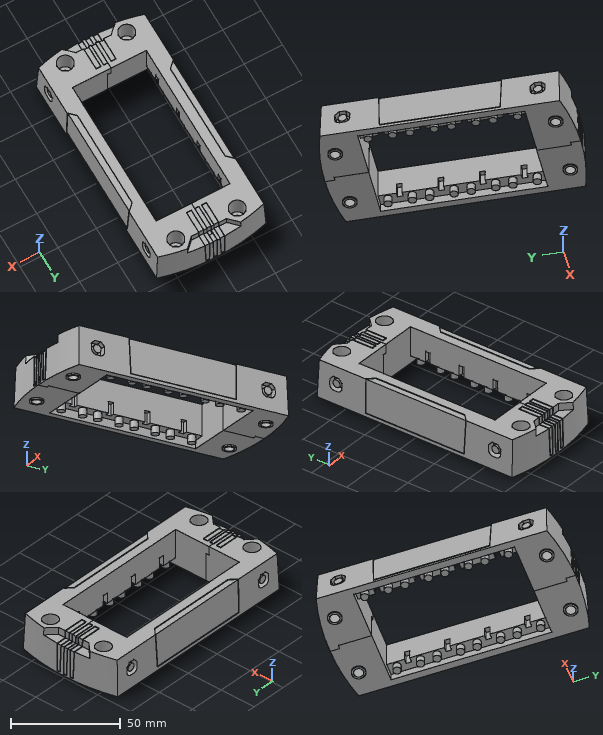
import cadquery as cq


WIDTH = 57.5
LENGTH = 120.0
HEIGHT = 20.0
CORNER_Y = 56.0
SIDE_LEAN = 0.8
END_LEAN = 0.55

OPENING_HALF_WIDTH = 19.3
OPENING_HALF_LENGTH = 39.0

SCREW_X = 16.1
SCREW_Y = 51.5
SCREW_DIAMETER = 4.7
SCREW_HEAD_DIAMETER = 8.2
SCREW_HEAD_DEPTH = 12.0
FOOT_DIAMETER = 6.7
FOOT_HEIGHT = 0.7

SIDE_RECESS_Y = 45.6
SIDE_RECESS_Z = 10.7
SIDE_RECESS_WIDTH = 7.0
SIDE_RECESS_HEIGHT = 7.2
SIDE_RECESS_CHAMFER = 1.9
SIDE_RECESS_ROUNDING = 2.6
SIDE_RECESS_DEPTH = 3.6
POST_DIAMETER = 4.1
POST_SETBACK = 0.6

PANEL_DEPTH = 0.4
PANEL_BOTTOM = 1.9
PANEL_TOP_HALF_LENGTH = 28.7
PANEL_BOTTOM_HALF_LENGTH = 28.2
PANEL_TOP_INNER_X = 24.4

FINGER_DEPTH = 4.0
FINGER_BACK_Y = 53.8
FINGER_BACK_HALF_WIDTH = 9.2

GROOVE_DEPTH = 0.4
GROOVE_PITCH = 4.0
GROOVE_TOP_WIDTH = 2.5
GROOVE_BOTTOM_WIDTH = 1.8
GROOVE_INNER_Y = 42.1
GROOVE_BOTTOM = 1.1

SEAM_OFFSET = 0.9
LAP_COVER = 4.8

LEDGE_HEIGHT = 4.2
LEDGE_OUTER_X = 25.2
PIN_DIAMETER = 3.8
PIN_X = 21.7
PIN_BOTTOM = 0.6
STATION_COUNT = 4
STATION_PITCH = 19.4
PIN_SPREAD = 5.7
NOTCH_WIDTH = 2.6
NOTCH_DEPTH = 2.4
NOTCH_TOP = 10.0

SIDE_X = WIDTH / 2
END_Y = LENGTH / 2
BEYOND = 6.0


def box(x0, x1, y0, y1, z0, z1):
    """Box between opposite corners."""
    size = (x1 - x0, y1 - y0, z1 - z0)
    return cq.Workplane("XY").box(*size, centered=False).translate((x0, y0, z0))


def end_pair(shape):
    """A shape at the +Y end together with its copy at the -Y end."""
    return shape.union(shape.mirror("XZ"))


def side_x_at(z):
    """Half width of the block at height z."""
    return SIDE_X - SIDE_LEAN * z / HEIGHT


def leaning_block(end_inset, height):
    """Block with bowed ends, its ends moved in by end_inset, cut off at the given height."""
    def outline(plane, z):
        lean = z / HEIGHT
        x = side_x_at(z)
        corner_y = CORNER_Y - END_LEAN * lean - end_inset
        end_y = END_Y - END_LEAN * lean - end_inset
        return (
            plane.moveTo(-x, -corner_y)
            .threePointArc((0, -end_y), (x, -corner_y))
            .lineTo(x, corner_y)
            .threePointArc((0, end_y), (-x, corner_y))
            .close()
        )

    bottom = outline(cq.Workplane("XY"), 0)
    return outline(bottom.workplane(offset=height), height).loft(ruled=True)


def finger_recess(growth):
    """Recess at the top of the +Y end with 45 degree flanks, its back and floor moved in by growth."""
    reach = END_Y + BEYOND - FINGER_BACK_Y
    mouth = FINGER_BACK_HALF_WIDTH + reach
    return (
        cq.Workplane("XY")
        .workplane(offset=HEIGHT - FINGER_DEPTH - growth)
        .polyline([
            (-FINGER_BACK_HALF_WIDTH, FINGER_BACK_Y - growth),
            (FINGER_BACK_HALF_WIDTH, FINGER_BACK_Y - growth),
            (mouth, FINGER_BACK_Y + reach),
            (-mouth, FINGER_BACK_Y + reach),
        ])
        .close()
        .extrude(FINGER_DEPTH + growth + BEYOND)
    )


def groove_prism(x):
    """Full-depth groove shape at the +Y end, centred on x and narrowing downwards."""
    return (
        cq.Workplane("XZ", origin=(x, GROOVE_INNER_Y, 0))
        .polyline([
            (-GROOVE_BOTTOM_WIDTH / 2, GROOVE_BOTTOM),
            (GROOVE_BOTTOM_WIDTH / 2, GROOVE_BOTTOM),
            (GROOVE_TOP_WIDTH / 2, HEIGHT),
            (-GROOVE_TOP_WIDTH / 2, HEIGHT),
        ])
        .close()
        .extrude(-(END_Y + BEYOND - GROOVE_INNER_Y))
    )


def left_grip_grooves():
    """Grooves of even depth for the left half, which has the middle groove at its +Y end only."""
    outer_grooves = groove_prism(-GROOVE_PITCH).union(groove_prism(GROOVE_PITCH))
    grooves = end_pair(outer_grooves).union(groove_prism(0))
    core = leaning_block(GROOVE_DEPTH, HEIGHT - GROOVE_DEPTH)
    return grooves.cut(core.cut(end_pair(finger_recess(GROOVE_DEPTH))))


def left_panel():
    """Shallow panel in the -X side, carried on into the top with 45 degree ends."""
    outer_x = SIDE_X + BEYOND
    floor_edge_x = side_x_at(HEIGHT - PANEL_DEPTH) - PANEL_DEPTH
    inner_half_length = PANEL_TOP_HALF_LENGTH - (floor_edge_x - PANEL_TOP_INNER_X)
    sheet = (
        cq.Workplane("XZ", origin=(0, LENGTH / 2, 0))
        .polyline([
            (-outer_x, PANEL_BOTTOM),
            (-side_x_at(PANEL_BOTTOM) + PANEL_DEPTH, PANEL_BOTTOM),
            (-side_x_at(HEIGHT) + PANEL_DEPTH, HEIGHT),
            (-outer_x, HEIGHT),
        ])
        .close()
        .extrude(LENGTH)
    )
    face_outline = (
        cq.Workplane("YZ")
        .polyline([
            (-PANEL_BOTTOM_HALF_LENGTH, PANEL_BOTTOM),
            (PANEL_BOTTOM_HALF_LENGTH, PANEL_BOTTOM),
            (PANEL_TOP_HALF_LENGTH, HEIGHT),
            (-PANEL_TOP_HALF_LENGTH, HEIGHT),
        ])
        .close()
        .extrude(-outer_x)
    )
    top = (
        cq.Workplane("XY")
        .workplane(offset=HEIGHT - PANEL_DEPTH)
        .polyline([
            (-floor_edge_x, -PANEL_TOP_HALF_LENGTH),
            (-floor_edge_x, PANEL_TOP_HALF_LENGTH),
            (-PANEL_TOP_INNER_X, inner_half_length),
            (-PANEL_TOP_INNER_X, -inner_half_length),
        ])
        .close()
        .extrude(PANEL_DEPTH)
    )
    return sheet.intersect(face_outline).union(top)


def left_side_recesses():
    """Recesses in the -X side, less the post standing in each."""
    floor_x = -side_x_at(SIDE_RECESS_Z) + SIDE_RECESS_DEPTH
    recess = (
        cq.Workplane("YZ", origin=(floor_x, SIDE_RECESS_Y, SIDE_RECESS_Z))
        .rect(SIDE_RECESS_WIDTH, SIDE_RECESS_HEIGHT)
        .extrude(-(SIDE_RECESS_DEPTH + BEYOND))
    )
    recess = recess.faces(">Z").edges("|X").chamfer(SIDE_RECESS_CHAMFER)
    recess = recess.faces("<Z").edges("|X").fillet(SIDE_RECESS_ROUNDING)
    post = (
        cq.Workplane("YZ", origin=(floor_x, SIDE_RECESS_Y, SIDE_RECESS_Z))
        .circle(POST_DIAMETER / 2)
        .extrude(-(SIDE_RECESS_DEPTH - POST_SETBACK))
    )
    return end_pair(recess.cut(post))


def left_zone():
    """Space taken by the left half: a stepped seam with a tongue at the -Y end, a rebate at the +Y end."""
    x0 = -SIDE_X - BEYOND
    y1 = END_Y + BEYOND
    z0 = -FOOT_HEIGHT - BEYOND
    z1 = HEIGHT + BEYOND
    tongue_y = END_Y - LAP_COVER
    tongue_top = HEIGHT - LAP_COVER
    rebate = box(-SEAM_OFFSET, SEAM_OFFSET, 0, tongue_y, z0, tongue_top)
    tongue = box(-SEAM_OFFSET, SEAM_OFFSET, -tongue_y, 0, z0, tongue_top)
    rear = box(x0, SEAM_OFFSET, 0, y1, z0, z1).cut(rebate)
    front = box(x0, -SEAM_OFFSET, -y1, 0, z0, z1).union(tongue)
    return rear.union(front)


def add_ledge(half):
    """Underside ledge beside the opening with pins below its roof and notches in the wall above."""
    inner_x = -OPENING_HALF_WIDTH
    half = half.cut(
        box(-LEDGE_OUTER_X, inner_x, -OPENING_HALF_LENGTH, OPENING_HALF_LENGTH, 0, LEDGE_HEIGHT)
    )
    for i in range(STATION_COUNT):
        y = (i - (STATION_COUNT - 1) / 2) * STATION_PITCH
        notch = box(
            inner_x - NOTCH_DEPTH, inner_x,
            y - NOTCH_WIDTH / 2, y + NOTCH_WIDTH / 2,
            LEDGE_HEIGHT, NOTCH_TOP,
        )
        pins = (
            cq.Workplane("XY", origin=(0, 0, PIN_BOTTOM))
            .pushPoints([(-PIN_X, y - PIN_SPREAD), (-PIN_X, y + PIN_SPREAD)])
            .circle(PIN_DIAMETER / 2)
            .extrude(LEDGE_HEIGHT - PIN_BOTTOM)
        )
        half = half.cut(notch).union(pins)
    return half


def add_screw_holes(half):
    """Feet and counterbored through holes at both corners."""
    centres = [(-SCREW_X, -SCREW_Y), (-SCREW_X, SCREW_Y)]
    feet = cq.Workplane("XY").pushPoints(centres).circle(FOOT_DIAMETER / 2).extrude(-FOOT_HEIGHT)
    return (
        half.union(feet)
        .faces(">Z")
        .workplane(origin=(0, 0, HEIGHT))
        .pushPoints(centres)
        .cboreHole(SCREW_DIAMETER, SCREW_HEAD_DIAMETER, SCREW_HEAD_DEPTH)
    )


def frame_half():
    """Left half of the frame."""
    opening = box(
        -OPENING_HALF_WIDTH, OPENING_HALF_WIDTH,
        -OPENING_HALF_LENGTH, OPENING_HALF_LENGTH,
        0, HEIGHT,
    )
    half = (
        leaning_block(0, HEIGHT)
        .cut(opening)
        .cut(end_pair(finger_recess(0)))
        .intersect(left_zone())
        .cut(left_grip_grooves())
        .cut(left_panel())
        .cut(left_side_recesses())
    )
    return add_screw_holes(add_ledge(half))


halves = []
for angle in (0, 180):
    halves.append(frame_half().rotate((0, 0, 0), (0, 0, 1), angle).val())

result = cq.Compound.makeCompound(halves)